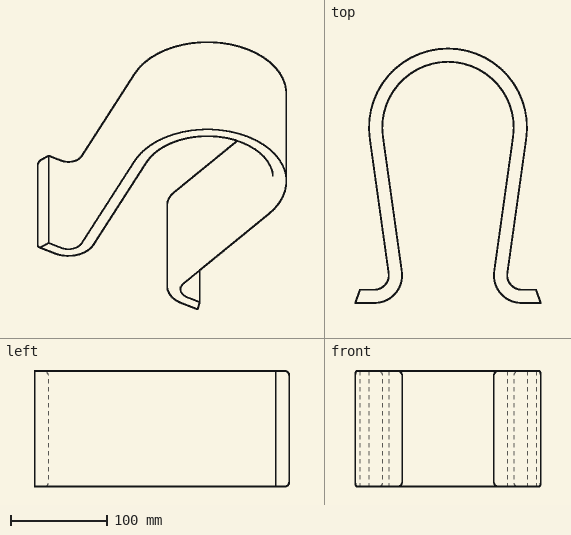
import cadquery as cq
import math

total_width = 192.54
total_depth = 264.0
strip_height = 120.0
thickness = 14.0
bow_outer_radius = 82.0
foot_outer_radius = 28.8
foot_length = 20.0
tip_setback = 5.0
edge_radius = 5.0

bow_inner_radius = bow_outer_radius - thickness
foot_inner_radius = foot_outer_radius - thickness
sole_y = bow_outer_radius - total_depth
foot_top_y = sole_y + thickness
tip_x = total_width / 2
foot_center_x = tip_x - foot_length
foot_center_y = sole_y + foot_outer_radius

center_distance = math.hypot(foot_center_x, foot_center_y)
center_angle = math.atan2(foot_center_x, -foot_center_y)
leg_angle = math.asin((bow_inner_radius + foot_outer_radius) / center_distance) - center_angle

bend_start = -leg_angle
bend_end = math.pi / 2
bend_middle = (bend_start + bend_end) / 2


def bow_end(radius):
    """Point where a bow arc of this radius meets the right leg."""
    return (radius * math.cos(leg_angle), -radius * math.sin(leg_angle))


def bend_point(radius, angle):
    """Point on the right foot bend."""
    return (
        foot_center_x - radius * math.cos(angle),
        foot_center_y - radius * math.sin(angle),
    )


def mirrored(point):
    """The same point on the left half of the clip."""
    return (-point[0], point[1])


def face_path(bow_radius, bend_radius, tip):
    """One face of the strip as a wire from the right foot tip, round the bow, to the left tip."""
    leg_bottom = bend_point(bend_radius, bend_start)
    bend_mid = bend_point(bend_radius, bend_middle)
    foot_start = bend_point(bend_radius, bend_end)
    leg_top = bow_end(bow_radius)
    return (
        cq.Workplane("XY")
        .moveTo(*tip)
        .lineTo(*foot_start)
        .threePointArc(bend_mid, leg_bottom)
        .lineTo(*leg_top)
        .threePointArc((0, bow_radius), mirrored(leg_top))
        .lineTo(*mirrored(leg_bottom))
        .threePointArc(mirrored(bend_mid), mirrored(foot_start))
        .lineTo(*mirrored(tip))
        .wire()
        .val()
    )


def tip_edge(inner_tip, outer_tip):
    """Slanted line across the thickness at a foot tip."""
    return cq.Edge.makeLine(cq.Vector(*inner_tip), cq.Vector(*outer_tip))


def make_strip():
    """Bent strip with sharp edges."""
    inner_tip = (tip_x, sole_y)
    outer_tip = (tip_x - tip_setback, foot_top_y)
    edges = [
        *face_path(bow_inner_radius, foot_outer_radius, inner_tip).Edges(),
        *face_path(bow_outer_radius, foot_inner_radius, outer_tip).Edges(),
        tip_edge(inner_tip, outer_tip),
        tip_edge(mirrored(inner_tip), mirrored(outer_tip)),
    ]
    outline = cq.Wire.combine(edges)[0]
    return cq.Workplane("XY").add(outline).toPending().extrude(strip_height)


def round_inner_edges(strip):
    """Round the inner face along its top and bottom edges, from foot tip to foot tip."""
    sole_edges = strip.faces("<Y").edges("|X")
    return sole_edges.fillet(edge_radius)


result = round_inner_edges(make_strip())